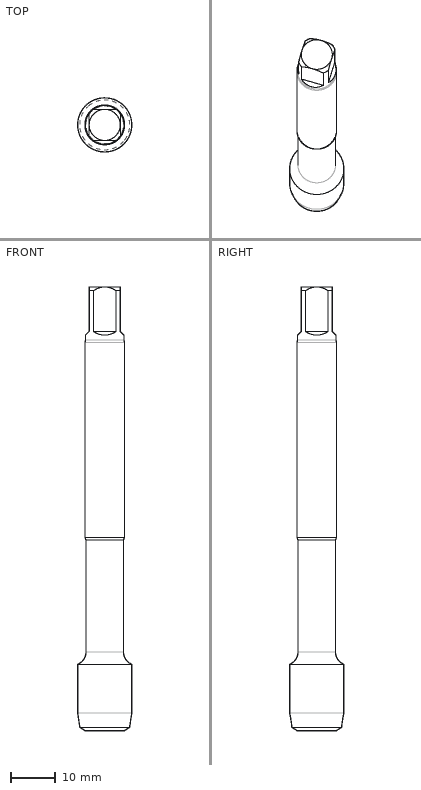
import cadquery as cq
import math

total_length = 100.0
head_diameter = 12.25
neck_diameter = 8.5
shank_diameter = 9.0
drive_diameter = 8.7

head_length = 15.0
lead_length = 4.0
lead_end_diameter = 11.25
end_chamfer_length = 0.8
end_face_diameter = 8.8

flare_radius = 3.0
neck_end_z = 43.0
neck_step_length = 0.6
drive_length = 12.0
drive_step_length = 0.5
top_face_diameter = 7.0
square_width = 7.0
square_length = 10.0


def make_head():
    """Forming head with a conical lead and an end chamfer, turned about Z."""
    profile = (
        cq.Workplane("XZ")
        .moveTo(0, 0)
        .lineTo(end_face_diameter / 2, 0)
        .lineTo(lead_end_diameter / 2, end_chamfer_length)
        .lineTo(head_diameter / 2, lead_length)
        .lineTo(head_diameter / 2, head_length)
        .lineTo(0, head_length)
        .close()
    )
    return profile.revolve(360, (0, 0), (0, 1))


def make_turned_shank():
    """Round shank standing on the head, with the concave flare tangent to the neck."""
    neck_radius = neck_diameter / 2
    flare_depth = (head_diameter - neck_diameter) / 2
    flare_sweep = math.acos(1 - flare_depth / flare_radius)
    flare_top_z = head_length + flare_radius * math.sin(flare_sweep)
    flare_middle = (
        neck_radius + flare_radius * (1 - math.cos(flare_sweep / 2)),
        flare_top_z - flare_radius * math.sin(flare_sweep / 2),
    )
    top_chamfer = (drive_diameter - top_face_diameter) / 2
    drive_start_z = total_length - drive_length
    profile = (
        cq.Workplane("XZ")
        .moveTo(0, head_length)
        .lineTo(head_diameter / 2, head_length)
        .threePointArc(flare_middle, (neck_radius, flare_top_z))
        .lineTo(neck_radius, neck_end_z)
        .lineTo(shank_diameter / 2, neck_end_z + neck_step_length)
        .lineTo(shank_diameter / 2, drive_start_z - drive_step_length)
        .lineTo(drive_diameter / 2, drive_start_z)
        .lineTo(drive_diameter / 2, total_length - top_chamfer)
        .lineTo(top_face_diameter / 2, total_length)
        .lineTo(0, total_length)
        .close()
    )
    return profile.revolve(360, (0, 0), (0, 1))


def make_flat_cutter():
    """Block that mills one drive flat on the +X side, running out at 45 degrees at its foot."""
    flat_x = square_width / 2
    flat_foot_z = total_length - square_length
    outer_x = shank_diameter / 2
    runout_depth = outer_x - flat_x
    return (
        cq.Workplane("XZ")
        .moveTo(flat_x, total_length)
        .lineTo(flat_x, flat_foot_z)
        .lineTo(outer_x, flat_foot_z - runout_depth)
        .lineTo(outer_x, total_length)
        .close()
        .extrude(shank_diameter / 2, both=True)
    )


def make_shank():
    """Turned shank with the four drive flats milled at its top."""
    shank = make_turned_shank()
    flat_cutter = make_flat_cutter()
    for side in range(4):
        shank = shank.cut(flat_cutter.rotate((0, 0, 0), (0, 0, 1), 90 * side))
    return shank


head = make_head()
shank = make_shank()
result = cq.Compound.makeCompound([head.val(), shank.val()])